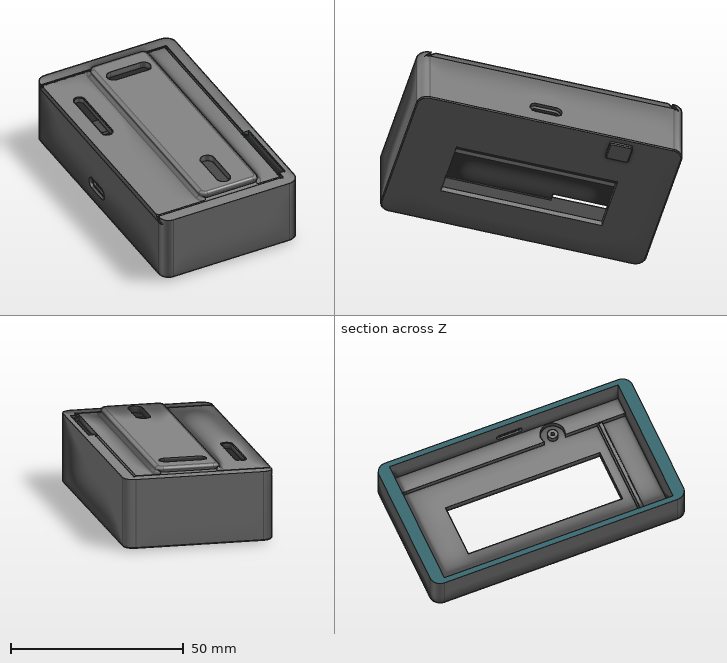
import cadquery as cq

LENGTH = 79.7
WIDTH = 44.4
HEIGHT = 20.7
CORNER_RADIUS = 3.2
BOTTOM_CHAMFER = 0.3
RIM_CHAMFER = 0.2

SIDE_WALL = 4.0
FLOOR = 2.0
CAVITY_LENGTH = LENGTH - 2 * SIDE_WALL

LID_THICKNESS = 1.8
LID_BOTTOM = HEIGHT - LID_THICKNESS
LID_HALF_LENGTH = 35.7
LID_BACK = 18.0
LID_GAP = 0.55
LIP_BACK = LID_BACK + LID_GAP
GROOVE_HALF_LENGTH = LID_HALF_LENGTH + LID_GAP
LID_CORNER_CHAMFER = 0.55

CAVITY_BACK = LIP_BACK + LID_THICKNESS
FRONT_WALL = WIDTH / 2 - CAVITY_BACK

PANEL_HEIGHT = 2.0
PANEL_LENGTH = 70.6
PANEL_WIDTH = 19.0
PANEL_Y = 2.15
PANEL_CORNER_RADIUS = 2.0
PANEL_FILLET = PANEL_HEIGHT / 2
PANEL_TOP = HEIGHT + PANEL_HEIGHT
PANEL_POCKET_LENGTH = PANEL_LENGTH - 2 * PANEL_FILLET
PANEL_POCKET_WIDTH = PANEL_WIDTH - 2 * PANEL_FILLET

PANEL_SLOT_LENGTH = 14.0
PANEL_SLOT_WIDTH = 4.2
CROSS_SLOT_X = -27.9
LONG_SLOT_X = 25.75
FRONT_SLOT_X = -15.8
FRONT_SLOT_Y = -15.95
FRONT_SLOT_LENGTH = 20.1
FRONT_SLOT_WIDTH = 3.0

NOTCH_LEFT = 11.65
NOTCH_RIGHT = 34.0

WINDOW_LENGTH = 48.5
WINDOW_WIDTH = PANEL_POCKET_WIDTH

RIB_LEFT = -28.6
RIB_WIDTH = 1.1
RIB_HEIGHT = 0.95
RIB_STEP_WIDTH = 0.5
RIB_STEP_HEIGHT = RIB_HEIGHT / 2

SHELF_BACK = -15.0
SHELF_HEIGHT = 1.6
POST_X = -13.7
POST_Y = -16.6
POST_DIAMETER = 3.0
PILOT_DIAMETER = 1.0
CLEARANCE_DIAMETER = 7.3

PORT_X = -1.75
PORT_Z = 5.9
PORT_LENGTH = 9.5
PORT_HEIGHT = 3.7
PORT_RECESS_DEPTH = 1.0
PORT_OPENING_LENGTH = 8.0
PORT_OPENING_HEIGHT = 2.0
PORT_OPENING_Z = 5.5

FOOT_X = 21.5
FOOT_Y = -17.55
FOOT_LENGTH = 6.9
FOOT_WIDTH = 5.8
FOOT_HEIGHT = 1.0
FOOT_CORNER_RADIUS = 0.8
FOOT_CHAMFER = 0.3


def block(left, right, front, back, bottom, top):
    """Box given by its six face positions."""
    return (
        cq.Workplane("XY", origin=((left + right) / 2, (front + back) / 2, bottom))
        .box(right - left, back - front, top - bottom, centered=(True, True, False))
    )


def outer_block():
    """Solid with the rounded outline of the housing, standing on Z = 0."""
    return (
        cq.Workplane("XY")
        .box(LENGTH, WIDTH, HEIGHT, centered=(True, True, False))
        .edges("|Z").fillet(CORNER_RADIUS)
    )


def dovetail(half_length, back, rise=0.0):
    """Wedge that widens downward at 45 degrees on both sides and the back.

    The sizes given are those at the top of the housing. The wedge goes up by the rise
    from there, down by the lid thickness, and past the front of the housing.
    """
    depth = LID_THICKNESS + rise
    front = -WIDTH / 2 - 2 * depth
    top_back = back - rise
    return (
        cq.Workplane("XY", origin=(0, (front + top_back) / 2, HEIGHT + rise))
        .rect(2 * (half_length - rise), top_back - front)
        .extrude(-depth, taper=-45)
    )


def back_edge_chamfer(left, right, edge):
    """Cutter that breaks the top edge of the housing at the back of an opening."""
    return (
        cq.Workplane("YZ", origin=(left, edge, HEIGHT))
        .polyline([(0, 0), (RIM_CHAMFER, 0), (0, -RIM_CHAMFER)])
        .close()
        .extrude(right - left)
    )


def card_notch():
    """Card notch, from the lid edge to the back wall of the cavity."""
    return block(NOTCH_LEFT, NOTCH_RIGHT, LID_BACK, CAVITY_BACK, FLOOR, HEIGHT)


def slot_cutter(x, y, length, width, angle=0):
    """Round-ended slot through the whole thickness of the lid and its panel."""
    return (
        cq.Workplane("XY", origin=(x, y, LID_BOTTOM))
        .slot2D(length, width, angle)
        .extrude(PANEL_TOP - LID_BOTTOM)
    )


def front_slot(length, height, z, depth):
    """Round-ended slot running into the front wall from outside."""
    return (
        cq.Workplane("XZ", origin=(PORT_X, -WIDTH / 2, z))
        .slot2D(length, height)
        .extrude(-depth)
    )


def floor_rib():
    """Stepped rib across the full width of the cavity."""
    step_left = RIB_LEFT + RIB_WIDTH
    step_right = step_left + RIB_STEP_WIDTH
    tall = block(RIB_LEFT, step_left, -CAVITY_BACK, CAVITY_BACK, FLOOR, FLOOR + RIB_HEIGHT)
    step = block(step_left, step_right, -CAVITY_BACK, CAVITY_BACK, FLOOR, FLOOR + RIB_STEP_HEIGHT)
    return tall.union(step)


def front_shelf():
    """Shelf along the front wall, with the screw post standing in its round clearance."""
    shelf = block(
        -CAVITY_LENGTH / 2, CAVITY_LENGTH / 2, -CAVITY_BACK, SHELF_BACK, FLOOR, FLOOR + SHELF_HEIGHT
    )
    post_base = cq.Workplane("XY", origin=(POST_X, POST_Y, FLOOR))
    clearance = post_base.circle(CLEARANCE_DIAMETER / 2).extrude(SHELF_HEIGHT)
    post = (
        post_base
        .circle(POST_DIAMETER / 2)
        .circle(PILOT_DIAMETER / 2)
        .extrude(SHELF_HEIGHT)
    )
    return shelf.cut(clearance).union(post)


def make_housing():
    body = outer_block().faces("<Z").edges().chamfer(BOTTOM_CHAMFER)
    cavity = block(
        -CAVITY_LENGTH / 2, CAVITY_LENGTH / 2, -CAVITY_BACK, CAVITY_BACK, FLOOR, LID_BOTTOM
    )
    window = (
        cq.Workplane("XY", origin=(0, PANEL_Y, 0))
        .rect(WINDOW_LENGTH, WINDOW_WIDTH)
        .extrude(FLOOR)
    )
    body = body.cut(cavity).cut(window)
    body = body.cut(dovetail(GROOVE_HALF_LENGTH, LIP_BACK))
    body = body.cut(card_notch())
    body = body.cut(back_edge_chamfer(-GROOVE_HALF_LENGTH, GROOVE_HALF_LENGTH, LIP_BACK))
    body = body.cut(back_edge_chamfer(NOTCH_LEFT, NOTCH_RIGHT, CAVITY_BACK))
    body = body.union(floor_rib()).union(front_shelf())
    body = body.cut(front_slot(PORT_LENGTH, PORT_HEIGHT, PORT_Z, PORT_RECESS_DEPTH))
    return body.cut(front_slot(PORT_OPENING_LENGTH, PORT_OPENING_HEIGHT, PORT_OPENING_Z, FRONT_WALL))


def panel_block():
    """Upright block with the outline of the raised panel, from the lid underside up."""
    return (
        cq.Workplane("XY", origin=(0, PANEL_Y, LID_BOTTOM))
        .rect(PANEL_LENGTH, PANEL_WIDTH)
        .extrude(PANEL_TOP - LID_BOTTOM)
        .edges("|Z").fillet(PANEL_CORNER_RADIUS)
    )


def panel_flare():
    """Concave flare around the foot of the panel, cut back to the sloping flanks of the lid."""
    base_margin = 2 * PANEL_FILLET
    base = (
        cq.Workplane("XY", origin=(0, PANEL_Y, LID_BOTTOM))
        .rect(PANEL_LENGTH + 2 * base_margin, PANEL_WIDTH + 2 * base_margin)
        .extrude(LID_THICKNESS)
    )
    body = base.union(panel_block())
    foot_line = body.faces(">Z[-2]").val().innerWires()
    flared = body.newObject(foot_line).edges().fillet(PANEL_FILLET)
    return flared.intersect(dovetail(LID_HALF_LENGTH, LID_BACK, PANEL_FILLET))


def lid_plate():
    """Sliding plate with its two front corners chamfered and its front end flush with the housing."""
    plate = dovetail(LID_HALF_LENGTH, LID_BACK)
    plate = plate.intersect(block(-LENGTH / 2, LENGTH / 2, -WIDTH / 2, WIDTH / 2, LID_BOTTOM, HEIGHT))
    plate = plate.faces("<Y").edges("not |X").chamfer(LID_CORNER_CHAMFER)
    return plate.intersect(outer_block())


def make_lid():
    panel = panel_block().faces(">Z").edges().fillet(PANEL_FILLET)
    lid = lid_plate().union(panel_flare()).union(panel)
    panel_pocket = (
        cq.Workplane("XY", origin=(0, PANEL_Y, LID_BOTTOM))
        .rect(PANEL_POCKET_LENGTH, PANEL_POCKET_WIDTH)
        .extrude(LID_THICKNESS)
    )
    lid = lid.cut(panel_pocket).cut(card_notch())
    lid = lid.cut(slot_cutter(CROSS_SLOT_X, PANEL_Y, PANEL_SLOT_LENGTH, PANEL_SLOT_WIDTH, 90))
    lid = lid.cut(slot_cutter(LONG_SLOT_X, PANEL_Y, PANEL_SLOT_LENGTH, PANEL_SLOT_WIDTH))
    lid = lid.cut(slot_cutter(FRONT_SLOT_X, FRONT_SLOT_Y, FRONT_SLOT_LENGTH, FRONT_SLOT_WIDTH))
    front_slot_rim = (
        cq.Workplane("XY", origin=(FRONT_SLOT_X, FRONT_SLOT_Y, HEIGHT))
        .slot2D(FRONT_SLOT_LENGTH + 2 * RIM_CHAMFER, FRONT_SLOT_WIDTH + 2 * RIM_CHAMFER)
        .extrude(-RIM_CHAMFER, taper=45)
    )
    return lid.cut(front_slot_rim)


def make_foot():
    return (
        cq.Workplane("XY", origin=(FOOT_X, FOOT_Y, -FOOT_HEIGHT))
        .box(FOOT_LENGTH, FOOT_WIDTH, FOOT_HEIGHT, centered=(True, True, False))
        .edges("|Z").fillet(FOOT_CORNER_RADIUS)
        .faces("<Z").edges().chamfer(FOOT_CHAMFER)
    )


housing = make_housing()
lid = make_lid()
foot = make_foot()
result = cq.Compound.makeCompound([housing.solids().val(), lid.solids().val(), foot.solids().val()])